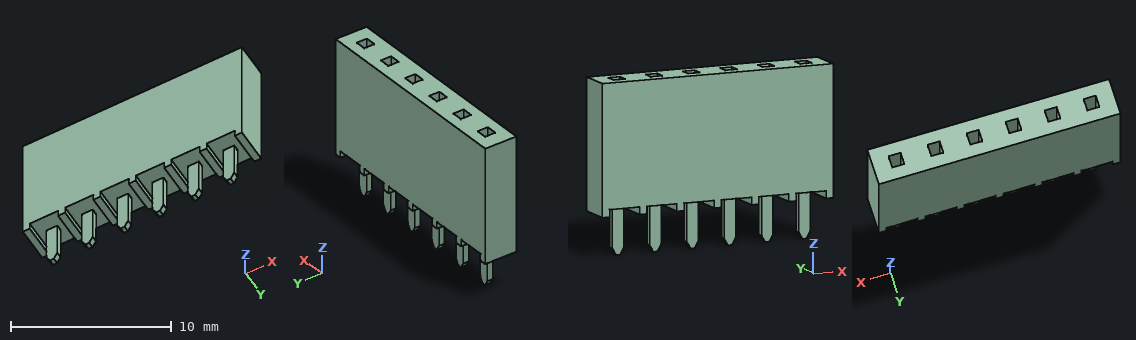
import cadquery as cq


length = 15.75
depth = 2.41
height = 11.15

contact_count = 6
foot_length = 0.5
gap_length = (length - (contact_count + 1) * foot_length) / contact_count
pitch = foot_length + gap_length
contact_positions = [(i - (contact_count - 1) / 2) * pitch for i in range(contact_count)]

foot_bottom = 2.65
foot_height = 0.49
housing_floor = foot_bottom + foot_height

socket_side = 0.79
socket_depth = (height - housing_floor) / 2

pin_width = 0.79
pin_thickness = 0.43
tip_width = 0.28
taper_height = 0.44


def make_housing():
    """Rectangular block with a full-depth gap under each contact, leaving the feet."""
    block = cq.Workplane("XY").workplane(offset=foot_bottom).rect(length, depth).extrude(height - foot_bottom)
    gaps = (
        cq.Workplane("XY")
        .workplane(offset=foot_bottom)
        .pushPoints([(x, 0) for x in contact_positions])
        .rect(gap_length, depth)
        .extrude(foot_height)
    )
    return block.cut(gaps)


def make_sockets():
    """Square blind holes, cut down from the top face."""
    return (
        cq.Workplane("XY")
        .workplane(offset=height)
        .pushPoints([(x, 0) for x in contact_positions])
        .rect(socket_side, socket_side)
        .extrude(-socket_depth)
    )


def make_pin(x):
    """Flat pin hanging from the housing floor, with its blunt tip at Z = 0."""
    return (
        cq.Workplane("XZ")
        .moveTo(x - pin_width / 2, housing_floor)
        .lineTo(x - pin_width / 2, taper_height)
        .lineTo(x - tip_width / 2, 0)
        .lineTo(x + tip_width / 2, 0)
        .lineTo(x + pin_width / 2, taper_height)
        .lineTo(x + pin_width / 2, housing_floor)
        .close()
        .extrude(pin_thickness / 2, both=True)
    )


result = make_housing().cut(make_sockets())
for contact_x in contact_positions:
    result = result.union(make_pin(contact_x))